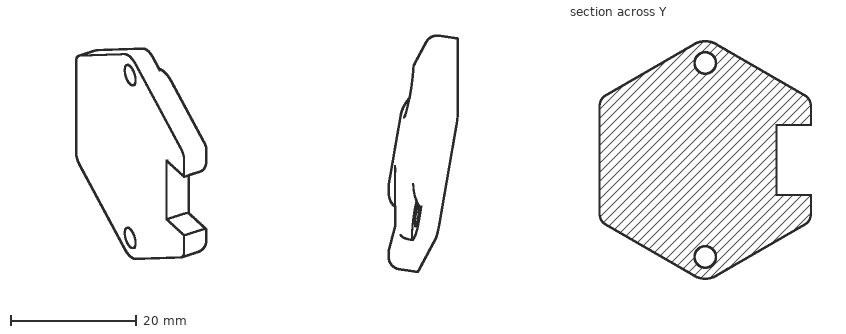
import cadquery as cq
import math

thickness = 5.0
rim_fillet = 2.0
side_corner_radius = 2.0
end_corner_radius = 3.5
end_corner_z = 15.5
half_corner_angle = math.radians(30)
flat_distance = end_corner_z * math.cos(half_corner_angle) + end_corner_radius
sharp_diameter = 2 * flat_distance / math.cos(half_corner_angle)

hole_diameter = 3.4
seat_height = 3.35
seat_radius = 4.0
seat_depth = thickness - seat_height
seat_rim_radius = seat_depth

notch_depth = 5.5
notch_width = 11.15


def make_hexagon():
    """Sharp hexagonal prism with two corners on the Z axis."""
    return (
        cq.Workplane("XZ")
        .transformed(rotate=(0, 0, 90))
        .polygon(6, sharp_diameter)
        .extrude(-thickness)
    )


def make_notch_cutter():
    """Block that opens the notch through the +X side and the full thickness."""
    return (
        cq.Workplane("XY")
        .box(notch_depth, thickness, notch_width, centered=(False, False, True))
        .translate((flat_distance - notch_depth, 0, 0))
    )


def make_plate():
    """Notched hexagon: rounded side corners, filleted rim, then rounded end corners."""
    side_corners = cq.selectors.BoxSelector(
        (-2 * flat_distance, 0, -end_corner_z),
        (2 * flat_distance, thickness, end_corner_z),
    )
    plate = make_hexagon().edges(side_corners).edges("|Y").fillet(side_corner_radius)
    plate = plate.cut(make_notch_cutter())
    plate = plate.faces(">Y").edges().fillet(rim_fillet)
    end_rounding = make_hexagon().edges("|Y and (>Z or <Z)").fillet(end_corner_radius)
    return plate.intersect(end_rounding)


def make_screw_cutter(center_z):
    """Through hole opening into a round screw head seat with a rounded rim."""
    arc_turn = seat_rim_radius * math.sin(math.radians(45))
    rim_center_radius = seat_radius + seat_rim_radius
    cutter = (
        cq.Workplane("XY")
        .lineTo(hole_diameter / 2, 0)
        .lineTo(hole_diameter / 2, seat_height)
        .lineTo(seat_radius, seat_height)
        .threePointArc(
            (rim_center_radius - arc_turn, seat_height + arc_turn),
            (rim_center_radius, thickness),
        )
        .lineTo(0, thickness)
        .close()
        .revolve(360, (0, 0, 0), (0, 1, 0))
    )
    return cutter.translate((0, 0, center_z))


result = make_plate()
for side in (1, -1):
    result = result.cut(make_screw_cutter(side * end_corner_z))